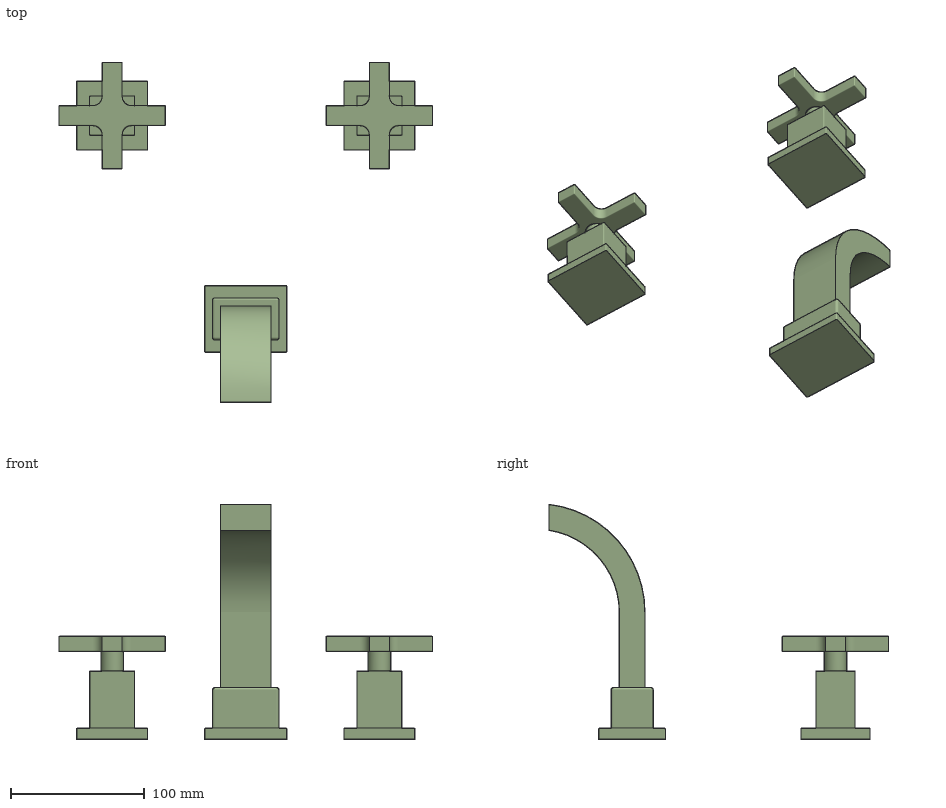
import cadquery as cq
import math

plate_height = 8.5

spout_plate_x = 61.5
spout_plate_y = 50.0
spout_plate_round = 1.0
block_x = 49.8
block_y = 31.5
block_top = 39.0
block_round = 2.0
neck_width = 38.0
neck_depth = 19.3
bend_start = 95.0
bend_inner_radius = 62.0
spout_reach = 62.5

handle_spacing = 200.0
handle_y = 152.2
handle_plate_x = 53.2
handle_plate_y = 51.8
body_x = 33.9
body_y = 29.5
body_top = 51.2
stem_diameter = 17.0
cross_span = 79.7
cross_arm_width = 15.0
cross_bottom = 65.7
cross_top = 77.2
cross_corner_radius = 6.7
handle_edge_round = 0.7


def rounded_block(size_x, size_y, bottom, top, radius):
    """Box centred on Z, with its upright and top edges rounded."""
    box = cq.Workplane("XY").workplane(offset=bottom).rect(size_x, size_y).extrude(top - bottom)
    return box.edges("|Z or >Z").fillet(radius)


def make_neck():
    """Upright bar that bends forward in two concentric arcs to a vertical outlet face."""
    back = neck_depth / 2
    front = -back
    bend_outer_radius = bend_inner_radius + neck_depth
    bend_center_y = front - bend_inner_radius
    outlet_offset = -spout_reach - bend_center_y

    def arc_point(radius, offset):
        return (bend_center_y + offset, bend_start + math.sqrt(radius**2 - offset**2))

    def arc_middle(radius):
        return arc_point(radius, radius * math.cos(math.pi / 4))

    profile = (
        cq.Workplane("YZ")
        .moveTo(front, block_top)
        .lineTo(front, bend_start)
        .threePointArc(arc_middle(bend_inner_radius), arc_point(bend_inner_radius, outlet_offset))
        .lineTo(*arc_point(bend_outer_radius, outlet_offset))
        .threePointArc(arc_middle(bend_outer_radius), (back, bend_start))
        .lineTo(back, block_top)
        .close()
    )
    return profile.extrude(neck_width / 2, both=True)


def make_spout():
    """Plate, block and curved neck joined into one solid."""
    plate = rounded_block(spout_plate_x, spout_plate_y, 0, plate_height, spout_plate_round)
    block = rounded_block(block_x, block_y, plate_height, block_top, block_round)
    return plate.union(block).union(make_neck())


def make_cross():
    """Four equal arms with rounded inner corners and softened outer edges."""
    base = cq.Workplane("XY").workplane(offset=cross_bottom)
    thickness = cross_top - cross_bottom
    arm_along_x = base.rect(cross_span, cross_arm_width).extrude(thickness)
    arm_along_y = base.rect(cross_arm_width, cross_span).extrude(thickness)
    cross = arm_along_x.union(arm_along_y)

    inner_zone = cq.selectors.BoxSelector(
        (-cross_arm_width, -cross_arm_width, cross_bottom),
        (cross_arm_width, cross_arm_width, cross_top),
    )
    cross = cross.edges("|Z").edges(inner_zone).fillet(cross_corner_radius)
    arm_ends = cross.faces("<X or >X or <Y or >Y").edges("|Z")
    return arm_ends.fillet(handle_edge_round).faces("<Z or >Z").edges().fillet(handle_edge_round)


def make_handle(center_x):
    """Plate, body, stem with rounded rims and cross grip, standing at the given X."""
    plate = rounded_block(handle_plate_x, handle_plate_y, 0, plate_height, handle_edge_round)
    body = rounded_block(body_x, body_y, plate_height, body_top, handle_edge_round)
    stem = (
        cq.Workplane("XY").workplane(offset=body_top)
        .circle(stem_diameter / 2).extrude(cross_bottom - body_top)
        .faces("<Z or >Z").edges().fillet(handle_edge_round)
    )
    handle = plate.union(body).union(stem).union(make_cross())
    return handle.translate((center_x, handle_y, 0))


spout = make_spout()
handles = [make_handle(side * handle_spacing / 2) for side in (-1, 1)]

result = cq.Compound.makeCompound([spout.val(), *[handle.val() for handle in handles]])